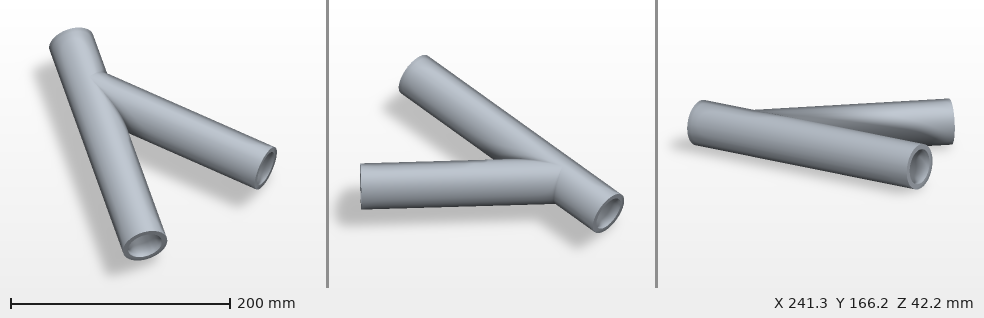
import cadquery as cq
import math

OUTER_DIAMETER = 42.16
BORE_DIAMETER = 32.46

RUN_LENGTH = 241.3
BRANCH_LENGTH = 184.15
BRANCH_ANGLE = 45.0
INLET_LENGTH = 57.15

CROSSING = cq.Vector(0, 0, 0)
RUN_START = cq.Vector(-INLET_LENGTH, 0, 0)
RUN_DIRECTION = cq.Vector(1, 0, 0)
BRANCH_DIRECTION = cq.Vector(
    math.cos(math.radians(BRANCH_ANGLE)),
    math.sin(math.radians(BRANCH_ANGLE)),
    0,
)


def rod(diameter, length, start, direction):
    """Solid cylinder from a start point along a direction."""
    return cq.Workplane(cq.Solid.makeCylinder(diameter / 2, length, start, direction))


def lateral(diameter):
    """Run and branch cylinders of one diameter, joined."""
    run = rod(diameter, RUN_LENGTH, RUN_START, RUN_DIRECTION)
    branch = rod(diameter, BRANCH_LENGTH, CROSSING, BRANCH_DIRECTION)
    return run.union(branch)


result = lateral(OUTER_DIAMETER).cut(lateral(BORE_DIAMETER))